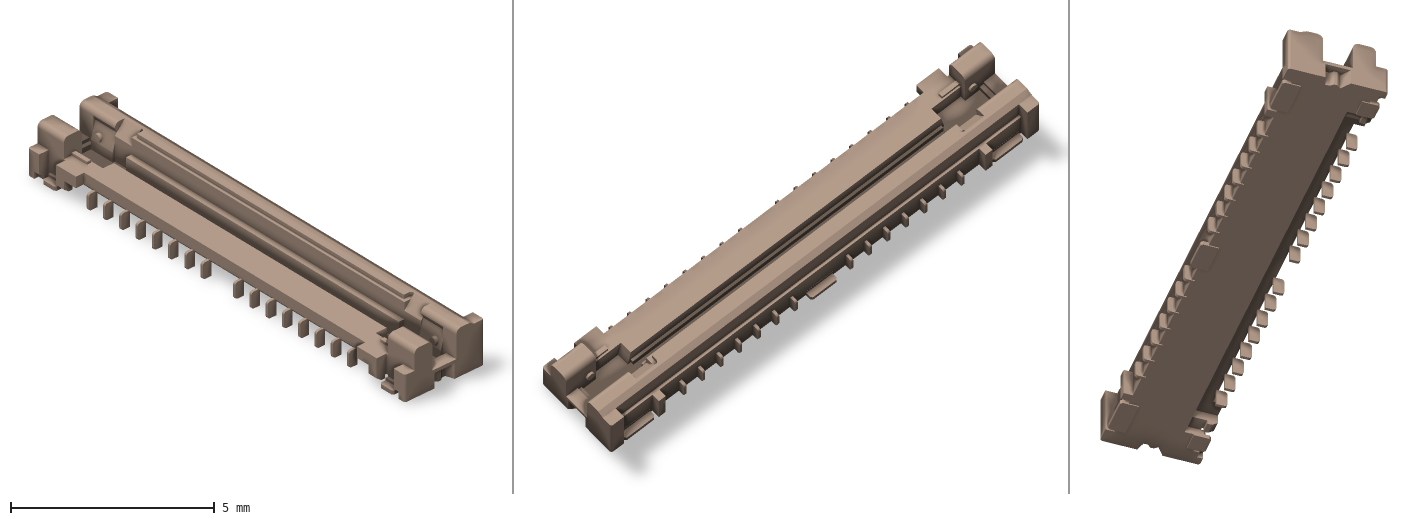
import cadquery as cq

LENGTH = 13.9
WIDTH = 2.6
HEIGHT = 1.45
HALF_LENGTH = LENGTH / 2
HALF_WIDTH = WIDTH / 2

BODY_BOTTOM = 0.03
FOOT_STEP = 0.24
SHELF_UNDERSIDE = 0.49
CAVITY_FLOOR = 0.33
CHANNEL_FLOOR = 0.30
SADDLE_TOP = 0.58
SADDLE_UNDERSIDE = 0.48
SHELF_TOP = 0.825
BACK_POST_TOP = 1.365

BACK_FACE = 1.06
WALL_OUTER = 0.985
WALL_CREST_OUTER = 0.815
WALL_CREST_INNER = 0.475
WALL_INNER = 0.39
LEDGE_EDGE = 0.21
SLOT_EDGE = -0.11
SHELF_EDGE = -0.19
CAVITY_FRONT = -0.55
SHELF_FRONT = -1.025
ARM_FRONT = -0.985
UNDERCUT = -0.62
LOWER_UNDERCUT = -0.57

CHANNEL_END = 5.03
SHELF_CORNER = 5.13
RAMP_END = 5.645
ARM_INNER = 5.98
CAVITY_END = 6.45
SADDLE_INNER = 6.58
CORNER_POST_INNER = 6.54
POST_INNER = 5.185
FRONT_POST_OUTER = 5.91
FRONT_POST_FOOT = 5.615
BACK_POST_OUTER = 5.405

CREST_RADIUS = 0.16
CORNER_RADIUS = 0.07
CREST_STEP_DEPTH = 0.125
CREST_STEP_END_LENGTH = 0.11
CREST_STEP_END_RADIUS = 0.08
SLOT_STEP_DROP = 0.35
RAMP_RUN = 0.33
RAMP_DROP = 0.375
END_NOTCH_HALF_WIDTH = 0.33
END_NOTCH_DEPTH = 0.25
END_NOTCH_FLOOR_HALF_WIDTH = 0.25
END_RIB_ROOT_HALF_WIDTH = 0.14
END_RIB_HALF_WIDTH = 0.04
END_RIB_HEIGHT = 0.08
FOOT_SLOPE_RUN = 0.15
FOOT_SLOPE_BOTTOM = 0.13
RELIEF_OUTER = 6.72

PITCH = 0.6
FRONT_TAILS_PER_SIDE = 8
BACK_TAILS_PER_SIDE = 7
FIRST_FRONT_TAIL = PITCH
FIRST_BACK_TAIL = 1.5 * PITCH
TAIL_WIDTH = 0.08
TAIL_TIP = 1.25
TAIL_ROOT = 0.97
TAIL_RADIUS = 0.08

TAB_TIP = 1.265
TAB_THICKNESS = 0.12
TAB_CORNER = 0.05
TAB_OUTER = 6.465
FRONT_TAB_INNER = 5.98
BACK_TAB_INNER = 5.49
MIDDLE_TAB_HALF_LENGTH = 0.425
TAB_ROOT = 0.80
TAB_BEND = 1.065
TAB_BEND_HEIGHT = 0.20

STRIP_INNER = 5.41
STRIP_FRONT = -0.73
STRIP_BACK = -0.60
STRIP_TOP = 0.907
PANEL_FACE = 0.32
DIMPLE_CENTER = 6.20
DIMPLE_HEIGHT = 0.78
DIMPLE_RADIUS = 0.12
DIMPLE_RISE = 0.04
RECESS_TOP = 1.29
PANEL_SLOPE_BOTTOM = 0.62
RECESS_DEEPEST = 1.14
RECESS_BACK = 0.47


def box(x0, x1, y0, y1, z0, z1):
    """Axis-aligned block between two opposite corners."""
    block = cq.Workplane("XY").box(x1 - x0, y1 - y0, z1 - z0, centered=False)
    return block.translate((x0, y0, z0))


def along_x(points, x0, x1):
    """Prism with a YZ outline, running from x0 to x1."""
    profile = cq.Workplane("YZ").polyline(points).close()
    return profile.extrude(x1 - x0).translate((x0, 0, 0))


def both_ends(solid):
    """The solid together with its mirror image across X = 0."""
    return solid.union(solid.mirror("YZ"))


def channel_section():
    """Long middle stretch: back wall, channel and undercut front shelf."""
    outline = [
        (BACK_FACE, BODY_BOTTOM),
        (BACK_FACE, SHELF_TOP),
        (WALL_OUTER, SHELF_TOP),
        (WALL_OUTER, BACK_POST_TOP),
        (WALL_CREST_OUTER, HEIGHT),
        (WALL_CREST_INNER, HEIGHT),
        (WALL_CREST_INNER, HEIGHT - CREST_STEP_DEPTH),
        (WALL_INNER, HEIGHT - CREST_STEP_DEPTH),
        (WALL_INNER, SHELF_TOP),
        (LEDGE_EDGE, SHELF_TOP),
        (LEDGE_EDGE, CHANNEL_FLOOR),
        (SLOT_EDGE, CHANNEL_FLOOR),
        (SLOT_EDGE, SHELF_TOP - SLOT_STEP_DROP),
        (SHELF_EDGE, SHELF_TOP - SLOT_STEP_DROP),
        (SHELF_EDGE, SHELF_TOP),
        (SHELF_FRONT, SHELF_TOP),
        (SHELF_FRONT, SHELF_UNDERSIDE),
        (UNDERCUT, SHELF_UNDERSIDE),
        (UNDERCUT, FOOT_STEP),
        (LOWER_UNDERCUT, FOOT_STEP),
        (LOWER_UNDERCUT, BODY_BOTTOM),
    ]
    section = along_x(outline, -CHANNEL_END, CHANNEL_END)
    widening = box(CHANNEL_END - CREST_STEP_END_LENGTH, CHANNEL_END, WALL_INNER, WALL_INNER + RAMP_RUN,
                   HEIGHT - CREST_STEP_DEPTH, HEIGHT)
    widening = widening.edges("|Z and <X and >Y").fillet(CREST_STEP_END_RADIUS)
    return section.cut(both_ends(widening))


def end_back_wall():
    """Back wall beside the end cavity, with a ramp next to the channel."""
    outline = [
        (BACK_FACE, BODY_BOTTOM),
        (BACK_FACE, SHELF_TOP),
        (WALL_OUTER, SHELF_TOP),
        (WALL_OUTER, BACK_POST_TOP),
        (WALL_CREST_OUTER, HEIGHT),
        (WALL_INNER, HEIGHT),
        (WALL_INNER, BODY_BOTTOM),
    ]
    wall = along_x(outline, RAMP_END, HALF_LENGTH)
    crest_middle = ((RAMP_END + HALF_LENGTH) / 2, WALL_INNER, HEIGHT)
    crest_edge = cq.selectors.NearestToPointSelector(crest_middle)
    wall = wall.edges(crest_edge).fillet(CREST_RADIUS)
    ramp_outline = outline[:5] + [
        (WALL_INNER + RAMP_RUN, HEIGHT),
        (WALL_INNER, HEIGHT - RAMP_DROP),
        (WALL_INNER, BODY_BOTTOM),
    ]
    return wall.union(along_x(ramp_outline, CHANNEL_END, RAMP_END))


def end_base():
    """Cavity floor, the shelf in front of it and the sloped end of the channel shelf."""
    base = box(CHANNEL_END, CAVITY_END, UNDERCUT, WALL_INNER, FOOT_STEP, CAVITY_FLOOR)
    foot = box(CHANNEL_END, CAVITY_END, LOWER_UNDERCUT, WALL_INNER, BODY_BOTTOM, FOOT_STEP)
    riser = box(CHANNEL_END, ARM_INNER, UNDERCUT, CAVITY_FRONT, CAVITY_FLOOR, SHELF_UNDERSIDE)
    shelf = box(CHANNEL_END, FRONT_POST_OUTER, SHELF_FRONT, CAVITY_FRONT, SHELF_UNDERSIDE, SHELF_TOP)
    slope = (
        cq.Workplane("XZ", origin=(0, SHELF_EDGE, 0))
        .moveTo(CHANNEL_END, CAVITY_FLOOR)
        .lineTo(SHELF_CORNER, CAVITY_FLOOR)
        .lineTo(CHANNEL_END, SHELF_TOP)
        .close()
        .extrude(SHELF_EDGE - CAVITY_FRONT)
    )
    leg = box(FRONT_POST_FOOT, FRONT_POST_OUTER, SHELF_FRONT, UNDERCUT, FOOT_STEP, SHELF_UNDERSIDE)
    flush = box(FRONT_POST_OUTER, ARM_INNER, ARM_FRONT, CAVITY_FRONT, FOOT_STEP, SHELF_TOP)
    return base.union(foot).union(riser).union(shelf).union(slope).union(leg).union(flush)


def front_arm():
    """Front upright of the end U, rounded along its crest."""
    arm = box(ARM_INNER, HALF_LENGTH, ARM_FRONT, -WALL_INNER, BODY_BOTTOM, HEIGHT)
    return arm.edges("|X and >Z").fillet(CREST_RADIUS)


def end_saddle():
    """Bridge across the end between back wall and front arm, notched below."""
    saddle = box(CAVITY_END, HALF_LENGTH, -WALL_INNER, WALL_INNER, BODY_BOTTOM, SADDLE_UNDERSIDE)
    bridge = box(SADDLE_INNER, HALF_LENGTH, -WALL_INNER, WALL_INNER, SADDLE_UNDERSIDE, SADDLE_TOP)
    deep = HALF_LENGTH - END_NOTCH_DEPTH
    notch = (
        cq.Workplane("XY", origin=(0, 0, BODY_BOTTOM))
        .polyline([
            (HALF_LENGTH, END_NOTCH_HALF_WIDTH),
            (deep, END_NOTCH_FLOOR_HALF_WIDTH),
            (deep, END_RIB_ROOT_HALF_WIDTH),
            (deep + END_RIB_HEIGHT, END_RIB_HALF_WIDTH),
            (deep + END_RIB_HEIGHT, -END_RIB_HALF_WIDTH),
            (deep, -END_RIB_ROOT_HALF_WIDTH),
            (HALF_LENGTH, -END_NOTCH_HALF_WIDTH),
        ])
        .close()
        .extrude(SADDLE_UNDERSIDE - BODY_BOTTOM)
    )
    return saddle.union(bridge).cut(notch)


def posts():
    """Corner posts and the shorter posts flanking the solder tabs."""
    back = box(CORNER_POST_INNER, HALF_LENGTH, WALL_CREST_OUTER, HALF_WIDTH, BODY_BOTTOM, BACK_POST_TOP)
    back = back.edges("|Z and >X and >Y").fillet(CORNER_RADIUS)
    front = box(CORNER_POST_INNER, HALF_LENGTH, -HALF_WIDTH, ARM_FRONT + CREST_RADIUS, BODY_BOTTOM, SHELF_TOP)
    front = front.edges("|Z and >X and <Y").fillet(CORNER_RADIUS)
    relief = along_x([
        (-HALF_WIDTH, BODY_BOTTOM),
        (-HALF_WIDTH, FOOT_STEP),
        (-HALF_WIDTH + FOOT_SLOPE_RUN, FOOT_SLOPE_BOTTOM),
        (-HALF_WIDTH + FOOT_SLOPE_RUN, BODY_BOTTOM),
    ], CORNER_POST_INNER, RELIEF_OUTER)
    front = front.cut(relief)
    sloped_foot = along_x([
        (-HALF_WIDTH, FOOT_STEP),
        (-HALF_WIDTH + FOOT_SLOPE_RUN, FOOT_SLOPE_BOTTOM),
        (SHELF_FRONT, FOOT_SLOPE_BOTTOM),
        (SHELF_FRONT, FOOT_STEP),
    ], FRONT_POST_FOOT, FRONT_POST_OUTER)
    back_short = box(POST_INNER, BACK_POST_OUTER, WALL_OUTER, HALF_WIDTH, BODY_BOTTOM, SHELF_TOP)
    front_short = box(POST_INNER, FRONT_POST_OUTER, -HALF_WIDTH, SHELF_FRONT, SHELF_UNDERSIDE, SHELF_TOP)
    front_foot = box(FRONT_POST_FOOT, FRONT_POST_OUTER, -HALF_WIDTH, SHELF_FRONT, FOOT_STEP, SHELF_UNDERSIDE)
    return back.union(front).union(back_short).union(front_short).union(front_foot).union(sloped_foot)


def dimple(y0, y1):
    """Round contact bump standing along Y from y0 to the larger y1."""
    bump = cq.Workplane("XZ").center(DIMPLE_CENTER, DIMPLE_HEIGHT).circle(DIMPLE_RADIUS)
    return bump.extrude(y0 - y1).translate((0, y0, 0))


def contact_panel():
    """Panel standing slightly proud of the back wall in the end cavity."""
    return box(RAMP_END, CAVITY_END, PANEL_FACE, WALL_INNER, CAVITY_FLOOR, STRIP_TOP)


def latch_recess():
    """Hollow under an overhanging lip; its lower slope shapes the contact panel."""
    return along_x([
        (WALL_INNER, RECESS_TOP),
        (RECESS_BACK, RECESS_DEEPEST),
        (PANEL_FACE, PANEL_SLOPE_BOTTOM),
        (PANEL_FACE, RECESS_TOP),
    ], RAMP_END, CAVITY_END)


def hold_down():
    """Raised strip on the shelf plus the facing pair of contact dimples."""
    strip = box(STRIP_INNER, ARM_INNER, STRIP_FRONT, STRIP_BACK, SHELF_TOP, STRIP_TOP)
    back_dimple = dimple(PANEL_FACE - DIMPLE_RISE, WALL_INNER)
    front_dimple = dimple(-WALL_INNER, -PANEL_FACE)
    return strip.union(back_dimple).union(front_dimple)


def tab(x0, x1, side):
    """Flat solder tab reaching out at the back (side = 1) or front (side = -1)."""
    plate = box(x0, x1, TAB_ROOT, TAB_TIP, 0, TAB_THICKNESS)
    plate = plate.edges("|Z and >Y").chamfer(TAB_CORNER)
    plate = plate.union(box(x0, x1, TAB_ROOT, TAB_BEND, 0, TAB_BEND_HEIGHT))
    return plate if side > 0 else plate.mirror("XZ")


def tail(x, side):
    """Contact tail: a thin upright blade with rounded outer corners."""
    blade = box(x - TAIL_WIDTH / 2, x + TAIL_WIDTH / 2, TAIL_ROOT, TAIL_TIP, 0, SHELF_UNDERSIDE)
    blade = blade.edges("|X and >Y").fillet(TAIL_RADIUS)
    return blade if side > 0 else blade.mirror("XZ")


def contact_tails():
    """Both rows of tails on the +X half; the back row is offset half a pitch."""
    tails = tail(FIRST_FRONT_TAIL, -1)
    for i in range(1, FRONT_TAILS_PER_SIDE):
        tails = tails.union(tail(FIRST_FRONT_TAIL + i * PITCH, -1))
    for i in range(BACK_TAILS_PER_SIDE):
        tails = tails.union(tail(FIRST_BACK_TAIL + i * PITCH, 1))
    return tails


half = end_back_wall().union(contact_panel()).cut(latch_recess())
half = half.union(end_base()).union(front_arm()).union(end_saddle()).union(posts())
half = half.union(hold_down()).union(contact_tails())
half = half.union(tab(FRONT_TAB_INNER, TAB_OUTER, -1)).union(tab(BACK_TAB_INNER, TAB_OUTER, 1))

result = channel_section().union(both_ends(half))
result = result.union(tab(-MIDDLE_TAB_HALF_LENGTH, MIDDLE_TAB_HALF_LENGTH, 1))